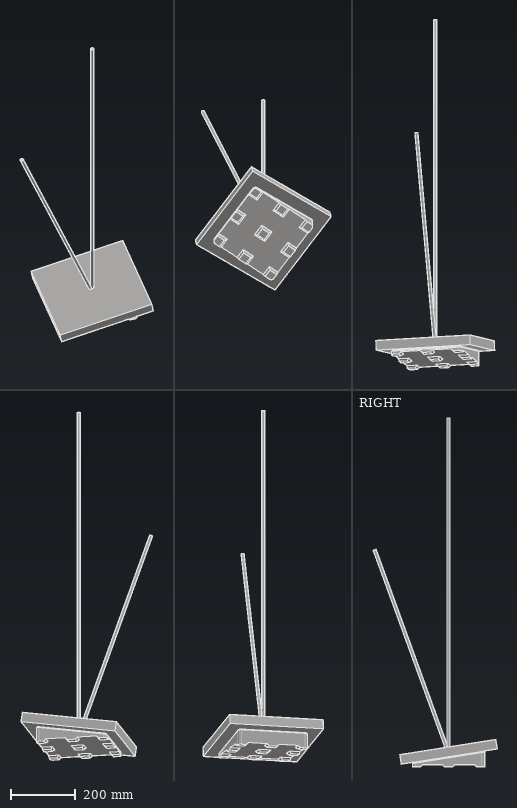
import cadquery as cq
import math

total_height = 1077.0

plate_side = 301.0
plate_thickness = 30.0
plate_tilt = 9.0

base_side = 224.0
base_corner_radius = 10.0
base_mid_height = 31.0
base_top_chamfer = 3.0

feet_per_side = 3
foot_width = 26.0
channel_depth = 6.0

pole_diameter = 10.0
rod_tilt = 20.0
rod_foot_y = -6.0
rod_length = 649.0

tilt = math.radians(plate_tilt)
plate_top_mid = base_mid_height + plate_thickness / math.cos(tilt)
plate_mid_z = base_mid_height + plate_thickness / 2 / math.cos(tilt)


def make_plate():
    """Square plate centred over the base and tilted about the X axis."""
    plate = cq.Workplane("XY").box(plate_side, plate_side, plate_thickness)
    plate = plate.rotate((0, 0, 0), (1, 0, 0), plate_tilt)
    return plate.translate((0, 0, plate_mid_z))


def make_channel(center_y):
    """Channel along X with 45 degree sides, open at the bottom."""
    gap_between_feet = (base_side - feet_per_side * foot_width) / (feet_per_side - 1)
    half_bottom = gap_between_feet / 2
    half_top = half_bottom - channel_depth
    return (
        cq.Workplane("YZ")
        .polyline([
            (center_y - half_bottom, 0),
            (center_y + half_bottom, 0),
            (center_y + half_top, channel_depth),
            (center_y - half_top, channel_depth),
        ])
        .close()
        .extrude(base_side, both=True)
    )


def make_base():
    """Wedge whose sloping top meets the underside of the plate."""
    half_side = base_side / 2
    rise = half_side * math.tan(tilt)
    base = (
        cq.Workplane("YZ")
        .polyline([
            (-half_side, 0),
            (half_side, 0),
            (half_side, base_mid_height + rise),
            (-half_side, base_mid_height - rise),
        ])
        .close()
        .extrude(half_side, both=True)
        .edges("|Z")
        .fillet(base_corner_radius)
        .faces(">Z")
        .chamfer(base_top_chamfer)
    )
    foot_pitch = (base_side - foot_width) / (feet_per_side - 1)
    channel_offset = foot_pitch / 2
    for center in (-channel_offset, channel_offset):
        channel = make_channel(center)
        base = base.cut(channel)
        base = base.cut(channel.rotate((0, 0, 0), (0, 0, 1), 90))
    return base


def make_mast():
    """Upright round mast, rooted in the middle of the plate."""
    return (
        cq.Workplane("XY")
        .workplane(offset=plate_mid_z)
        .circle(pole_diameter / 2)
        .extrude(total_height - plate_mid_z)
    )


def make_rod():
    """Round rod that leans toward -Y, rooted in the plate beside the mast."""
    root_depth = plate_thickness / 2
    surface_z = plate_top_mid + rod_foot_y * math.tan(tilt)
    rod = (
        cq.Workplane("XY")
        .workplane(offset=-root_depth)
        .circle(pole_diameter / 2)
        .extrude(rod_length + root_depth)
    )
    rod = rod.rotate((0, 0, 0), (1, 0, 0), rod_tilt)
    return rod.translate((0, rod_foot_y, surface_z))


result = make_base().union(make_plate()).union(make_mast()).union(make_rod())